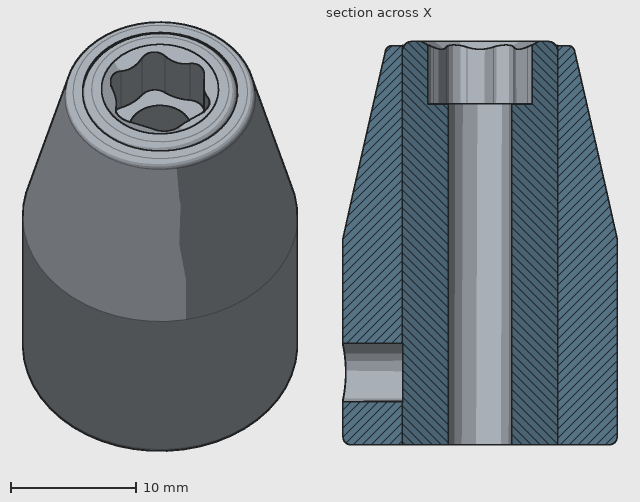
import cadquery as cq
import math

height = 32.3
housing_radius = 10.998
housing_top = 31.98
bottom_round = 0.65
cone_start = 16.55
cone_end = 31.4
cone_end_radius = 7.62
top_flat_radius = 6.98

insert_radius = 6.2
insert_top_round = 0.7
through_hole_radius = 2.52

lobe_count = 6
socket_depth = 5.0
lobe_tip_radius = 4.17
valley_radius = 3.57
lobe_round = 1.3
countersink_radius = 4.68
countersink_slope = 30.0

side_hole_radius = 2.33
side_hole_height = 5.8


def polar(radius, angle):
    return (radius * math.cos(angle), radius * math.sin(angle))


def make_housing():
    """Revolved sleeve with a tapered nose and a radial hole through its +Y wall."""
    diagonal = math.sqrt(0.5)
    round_center = housing_radius - bottom_round
    round_middle = (round_center + bottom_round * diagonal, bottom_round * (1 - diagonal))
    rim_width = cone_end_radius - top_flat_radius
    rim_height = housing_top - cone_end
    rim_middle = (top_flat_radius + rim_width * diagonal, cone_end + rim_height * diagonal)
    body = (
        cq.Workplane("XZ")
        .moveTo(insert_radius, 0)
        .lineTo(round_center, 0)
        .threePointArc(round_middle, (housing_radius, bottom_round))
        .lineTo(housing_radius, cone_start)
        .lineTo(cone_end_radius, cone_end)
        .threePointArc(rim_middle, (top_flat_radius, housing_top))
        .lineTo(insert_radius, housing_top)
        .close()
        .revolve(360, (0, 0), (0, 1))
    )
    side_hole = (
        cq.Workplane("XZ")
        .center(0, side_hole_height)
        .circle(side_hole_radius)
        .extrude(-housing_radius)
    )
    return body.cut(side_hole)


def lobed_outline():
    """Closed outline of tangent arcs: a convex lobe and a concave valley, repeated."""
    half_pitch = math.pi / lobe_count
    lobe_center = lobe_tip_radius - lobe_round
    cosine = math.cos(half_pitch)
    valley_round = (
        lobe_center**2 + valley_radius**2 - lobe_round**2
        - 2 * lobe_center * valley_radius * cosine
    ) / (2 * (lobe_round + lobe_center * cosine - valley_radius))
    valley_center = valley_radius + valley_round

    valley_x, valley_y = polar(valley_center, half_pitch)
    share = lobe_round / (lobe_round + valley_round)
    joint_x = lobe_center + share * (valley_x - lobe_center)
    joint_y = share * valley_y
    joint_radius = math.hypot(joint_x, joint_y)
    joint_angle = math.atan2(joint_y, joint_x)

    first_lobe = math.pi / 2
    outline = cq.Workplane("XY").moveTo(*polar(joint_radius, first_lobe - joint_angle))
    for index in range(lobe_count):
        lobe = first_lobe + 2 * half_pitch * index
        next_lobe = lobe + 2 * half_pitch
        outline = outline.threePointArc(
            polar(lobe_tip_radius, lobe), polar(joint_radius, lobe + joint_angle)
        )
        outline = outline.threePointArc(
            polar(valley_radius, lobe + half_pitch), polar(joint_radius, next_lobe - joint_angle)
        )
    return outline.close()


def make_insert():
    """Cylinder with a rounded top edge, a lobed socket, a countersink and a through hole."""
    body = cq.Workplane("XY").circle(insert_radius).extrude(height)
    body = body.faces(">Z").edges().fillet(insert_top_round)
    socket = lobed_outline().extrude(socket_depth).translate((0, 0, height - socket_depth))
    countersink_depth = countersink_radius * math.tan(math.radians(countersink_slope))
    countersink = (
        cq.Workplane("XZ")
        .moveTo(0, height)
        .lineTo(countersink_radius, height)
        .lineTo(0, height - countersink_depth)
        .close()
        .revolve(360, (0, 0), (0, 1))
    )
    through_hole = cq.Workplane("XY").circle(through_hole_radius).extrude(height)
    return body.cut(socket).cut(countersink).cut(through_hole)


housing = make_housing()
insert = make_insert()
result = cq.Compound.makeCompound([housing.val(), insert.val()])